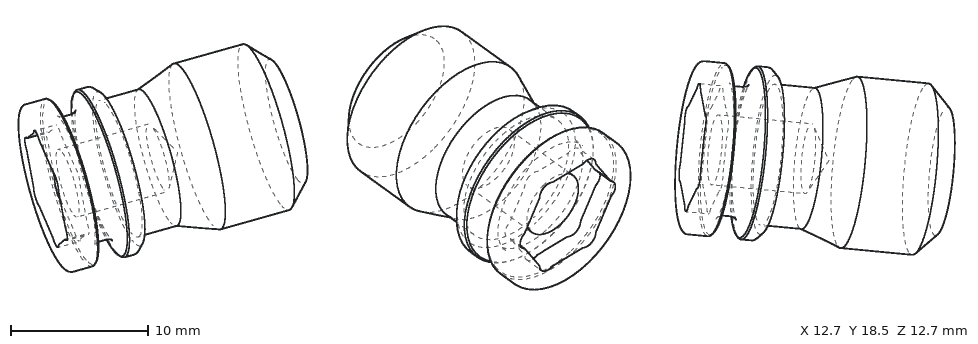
import cadquery as cq
import math

total_length = 18.54
flange_end = 1.9
collar_start = 4.1
collar_end = 5.6
neck_end = 8.6
cone_end = 11.65

flange_radius = 12.7 / 2
groove_radius = 9.5 / 2
neck_radius = 10.35 / 2
body_radius = 12.57 / 2

face_round = 0.26
rim_chamfer = 0.13
groove_round = 0.8
collar_chamfer = 0.52
collar_round = 0.26
tail_chamfer = 1.58

hex_sides = 6
hex_across_flats = 8.1
socket_depth = 1.65
relief_radius = 0.83
relief_center_radius = 3.85
relief_blend_radius = 0.39

bore_radius = 5.12 / 2
bore_depth = neck_end
drill_point_angle = 118.0


def disk(radius, start, end):
    """Solid cylinder about Y between two lengthwise positions."""
    return cq.Workplane("XZ", origin=(0, start, 0)).circle(radius).extrude(start - end)


def make_flange():
    flange = disk(flange_radius, 0, flange_end)
    return flange.faces("<Y").edges().fillet(face_round).faces(">Y").edges().chamfer(rim_chamfer)


def make_collar():
    """Collar with a chamfered rim on the groove side and a softened 45 degree bevel on the other."""
    bevel_start = collar_end - collar_chamfer
    round_middle = math.radians(22.5)
    round_end = math.radians(45)
    round_center_x = flange_radius - collar_round
    round_center_y = bevel_start - collar_round * math.tan(round_middle)

    def round_point(angle):
        return (
            round_center_x + collar_round * math.cos(angle),
            round_center_y + collar_round * math.sin(angle),
        )

    return (
        cq.Workplane("XY")
        .moveTo(0, collar_start)
        .lineTo(flange_radius - rim_chamfer, collar_start)
        .lineTo(flange_radius, collar_start + rim_chamfer)
        .lineTo(*round_point(0))
        .threePointArc(round_point(round_middle), round_point(round_end))
        .lineTo(flange_radius - collar_chamfer, collar_end)
        .lineTo(0, collar_end)
        .close()
        .revolve(360, (0, 0, 0), (0, 1, 0))
    )


def make_groove_core():
    """Waist between flange and collar, flaring with a quarter round at each end."""
    flare_radius = groove_radius + groove_round
    arc_offset = groove_round * (1 - math.sqrt(0.5))
    return (
        cq.Workplane("XY")
        .moveTo(0, flange_end)
        .lineTo(flare_radius, flange_end)
        .threePointArc(
            (groove_radius + arc_offset, flange_end + arc_offset),
            (groove_radius, flange_end + groove_round),
        )
        .lineTo(groove_radius, collar_start - groove_round)
        .threePointArc(
            (groove_radius + arc_offset, collar_start - arc_offset),
            (flare_radius, collar_start),
        )
        .lineTo(0, collar_start)
        .close()
        .revolve(360, (0, 0, 0), (0, 1, 0))
    )


def make_shank():
    """Neck, widening cone and cylindrical body with a chamfered tail."""
    return (
        cq.Workplane("XY")
        .moveTo(0, collar_end)
        .lineTo(neck_radius, collar_end)
        .lineTo(neck_radius, neck_end)
        .lineTo(body_radius, cone_end)
        .lineTo(body_radius, total_length - tail_chamfer)
        .lineTo(body_radius - tail_chamfer, total_length)
        .lineTo(0, total_length)
        .close()
        .revolve(360, (0, 0, 0), (0, 1, 0))
    )


def make_socket():
    """Hexagonal pocket, corners on X, with corner reliefs blended into the flats."""
    across_corners = hex_across_flats / math.cos(math.pi / hex_sides)
    socket = cq.Workplane("XZ").polygon(hex_sides, across_corners).extrude(-socket_depth)
    reliefs = (
        cq.Workplane("XZ")
        .polarArray(relief_center_radius, 0, 360, hex_sides)
        .circle(relief_radius)
        .extrude(-socket_depth)
    )
    return socket.union(reliefs).edges("|Y").fillet(relief_blend_radius)


def make_bore():
    tip_length = bore_radius / math.tan(math.radians(drill_point_angle / 2))
    return (
        cq.Workplane("XY")
        .lineTo(bore_radius, 0)
        .lineTo(bore_radius, bore_depth)
        .lineTo(0, bore_depth + tip_length)
        .close()
        .revolve(360, (0, 0, 0), (0, 1, 0))
    )


body = make_flange().union(make_groove_core()).union(make_collar()).union(make_shank())
result = body.cut(make_socket()).cut(make_bore())